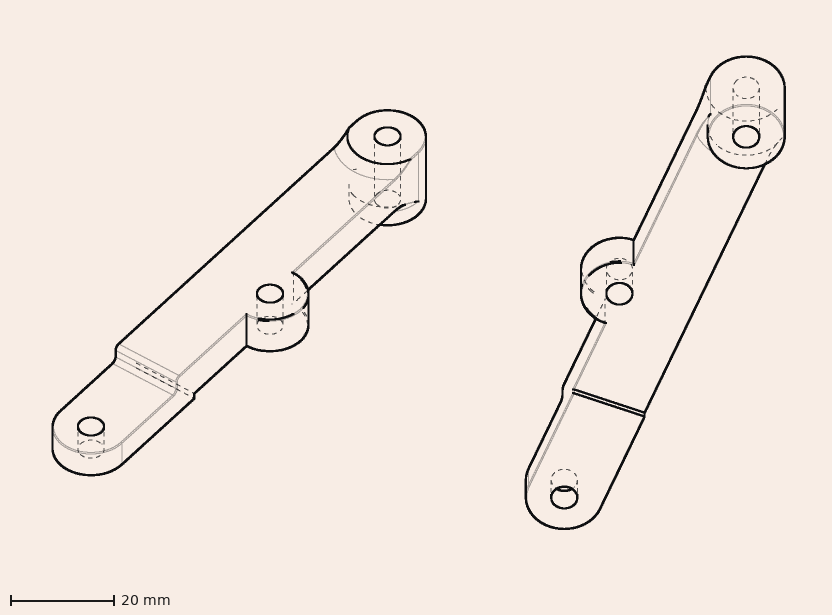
import cadquery as cq
import math

length = 110.0
end_radius = 7.5
hole_diameter = 5.1
head_height = 16.8
arm_bottom = 6.7
arm_top = 15.2
tongue_bottom = 5.4
tongue_top = 11.4
upper_step_y = -29.9
lower_step_y = -24.1
step_fillet = 1.0
edge_fillet = 0.2
head_fillet = 3.0
tolerance = 0.001

width = 2 * end_radius
half_length = length / 2
head_y = half_length - end_radius
tongue_y = -head_y
lug_x = end_radius


def cylinder(x, y, radius, bottom, top):
    return cq.Workplane("XY", origin=(x, y, bottom)).circle(radius).extrude(top - bottom)


def round_upper_step(bar):
    """Fillet the outer and inner corners of the upper step."""
    step_middle = (0, upper_step_y, (tongue_top + arm_top) / 2)
    step_face = cq.selectors.NearestToPointSelector(step_middle)
    return bar.faces(step_face).edges("|X").fillet(step_fillet)


def stepped_arm():
    """Side profile of bar and tongue, trimmed to a round-ended outline."""
    profile = (
        cq.Workplane("YZ", origin=(-end_radius, 0, 0))
        .moveTo(head_y, arm_bottom)
        .lineTo(lower_step_y, arm_bottom)
        .lineTo(lower_step_y, tongue_bottom)
        .lineTo(-half_length, tongue_bottom)
        .lineTo(-half_length, tongue_top)
        .lineTo(upper_step_y, tongue_top)
        .lineTo(upper_step_y, arm_top)
        .lineTo(head_y, arm_top)
        .close()
        .extrude(width)
    )
    profile = round_upper_step(profile)
    outline = cq.Workplane("XY").slot2D(length, width, 90).extrude(head_height)
    return profile.intersect(outline)


def head_blend():
    """Concave fillets from the head to the bar; the upper one is cut off by the head's top face."""
    outer = end_radius + head_fillet
    lower_center_z = arm_bottom - head_fillet
    upper_center_z = arm_top + head_fillet
    top_radius = outer - math.sqrt(head_fillet**2 - (upper_center_z - head_height) ** 2)
    diagonal = head_fillet * math.sqrt(0.5)
    top_angle = math.asin((upper_center_z - head_height) / head_fillet)
    middle_angle = (top_angle + math.pi / 2) / 2
    upper_middle = (
        outer - head_fillet * math.cos(middle_angle),
        upper_center_z - head_fillet * math.sin(middle_angle),
    )
    flare = (
        cq.Workplane("XZ")
        .moveTo(0, lower_center_z)
        .lineTo(end_radius, lower_center_z)
        .threePointArc((outer - diagonal, lower_center_z + diagonal), (outer, arm_bottom))
        .lineTo(outer, arm_top)
        .threePointArc(upper_middle, (top_radius, head_height))
        .lineTo(0, head_height)
        .close()
        .revolve(360, (0, 0, 0), (0, 1, 0))
        .translate((0, head_y, 0))
    )
    bar_side = cq.Workplane("XY").box(width, head_y, head_height, centered=(True, False, False))
    return flare.intersect(bar_side)


head = cylinder(0, head_y, end_radius, 0, head_height)
lug = cylinder(lug_x, 0, end_radius, arm_bottom, arm_top)

result = stepped_arm().union(head).union(head_blend()).union(lug)


def on_outer_wall(point):
    """True when a point lies on the side wall of the arm or of the lug."""
    from_arm = math.hypot(point.x, max(abs(point.y) - head_y, 0)) - end_radius
    from_lug = math.hypot(point.x - lug_x, point.y) - end_radius
    return abs(min(from_arm, from_lug)) < tolerance


def is_rim(edge):
    """True for edges around the side walls, the lower step and the head's bottom face."""
    bounds = edge.BoundingBox()
    upright = bounds.xlen < tolerance and bounds.ylen < tolerance
    if upright and abs(bounds.ymin - lower_step_y) < tolerance:
        return True
    return bounds.zmax < tolerance or (not upright and on_outer_wall(edge.positionAt(0.5)))


rim_edges = [edge for edge in result.edges().vals() if is_rim(edge)]
result = result.newObject(rim_edges).fillet(edge_fillet)

for hole_x, hole_y in ((0, head_y), (lug_x, 0), (0, tongue_y)):
    result = result.cut(cylinder(hole_x, hole_y, hole_diameter / 2, 0, head_height))